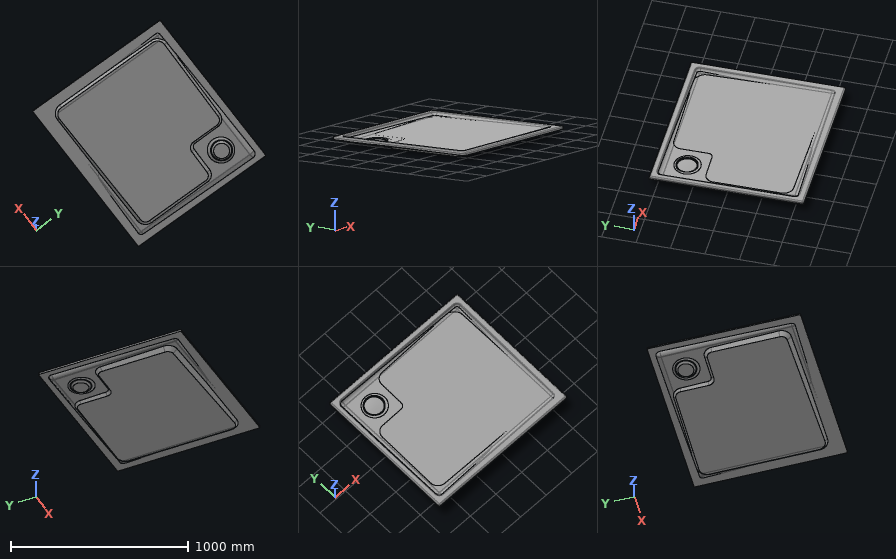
import cadquery as cq
import math

RIM_LENGTH = 1000.0
RIM_WIDTH = 900.0
RIM_THICKNESS = 19.0
RIM_RADIUS = 8.0
OPENING_RADIUS = 6.0

FLOOR_LENGTH = 871.0
FLOOR_WIDTH = 767.0
FLOOR_DEPTH = 19.0
FLOOR_RISE_X = 13.0
FLOOR_RISE_Y = 11.0
WALL_FILLET = 28.0
CORNER_MARGIN = 0.5
SHELL_THICKNESS = 5.0
BASIN_HEIGHT = 60.0

DRAIN_X = -319.0
DRAIN_Y = 271.0
RECESS_DIAMETER = 124.0
RECESS_BOTTOM = -36.0
BOSS_TOP_DIAMETER = 165.0
BOSS_TOP = -30.0
BOSS_BOTTOM_DIAMETER = 90.0
BOSS_BOTTOM = -48.0

COVER_DIAMETER = 114.0
COVER_EDGE_TOP = -33.0
COVER_CROWN_TOP = -29.0

SUPPORT_LEFT = -405.0
SUPPORT_RIGHT = 409.0
SUPPORT_FRONT = -337.0
SUPPORT_BACK = 373.0
SUPPORT_DEPTH = 52.0
SUPPORT_RISE = 17.0
SUPPORT_RADIUS = 34.0
SUPPORT_TAPER = 41.0
NOTCH_CLEARANCE = 141.0
NOTCH_RADIUS = 45.0

SLOPE_X = FLOOR_RISE_X / FLOOR_LENGTH
SLOPE_Y = -FLOOR_RISE_Y / FLOOR_WIDTH


def basin_form(offset):
    """The space inside the basin, grown outwards by the offset."""
    radius = WALL_FILLET + offset
    floor = cq.Plane(
        origin=(0, 0, -FLOOR_DEPTH - offset),
        xDir=(1, 0, SLOPE_X),
        normal=(-SLOPE_X, -SLOPE_Y, 1),
    )
    form = (
        cq.Workplane(floor)
        .rect(FLOOR_LENGTH + 2 * radius, FLOOR_WIDTH + 2 * radius)
        .extrude(BASIN_HEIGHT)
        .edges(cq.selectors.ParallelDirSelector(floor.zDir))
        .fillet(radius + CORNER_MARGIN)
    )
    return form.faces("<Z").edges().fillet(radius)


def make_rim():
    return (
        cq.Workplane("XY", origin=(0, 0, -RIM_THICKNESS))
        .rect(RIM_LENGTH, RIM_WIDTH)
        .extrude(RIM_THICKNESS)
        .edges("|Z")
        .fillet(RIM_RADIUS)
        .faces(">Z")
        .edges()
        .fillet(RIM_RADIUS)
    )


def make_shell():
    """The solid form of the basin's underside, up to the rim's lower face."""
    below_rim = (
        cq.Workplane("XY", origin=(0, 0, -RIM_THICKNESS))
        .rect(RIM_LENGTH, RIM_WIDTH)
        .extrude(-BASIN_HEIGHT)
    )
    return basin_form(SHELL_THICKNESS).intersect(below_rim)


def make_support():
    notch_x = DRAIN_X + NOTCH_CLEARANCE
    notch_y = DRAIN_Y - NOTCH_CLEARANCE
    outline = (
        cq.Sketch()
        .polygon([
            (SUPPORT_LEFT, SUPPORT_FRONT),
            (SUPPORT_RIGHT, SUPPORT_FRONT),
            (SUPPORT_RIGHT, SUPPORT_BACK),
            (notch_x, SUPPORT_BACK),
            (notch_x, notch_y),
            (SUPPORT_LEFT, notch_y),
            (SUPPORT_LEFT, SUPPORT_FRONT),
        ])
        .vertices(cq.selectors.NearestToPointSelector((notch_x, notch_y, 0)))
        .fillet(NOTCH_RADIUS)
        .reset()
        .vertices("<X or >X or >Y")
        .fillet(SUPPORT_RADIUS)
    )
    block = (
        cq.Workplane("XY", origin=(0, 0, -SUPPORT_DEPTH))
        .placeSketch(outline)
        .extrude(SUPPORT_DEPTH - RIM_THICKNESS, taper=-SUPPORT_TAPER)
    )
    below_slope = (
        cq.Workplane("XZ", origin=(0, RIM_WIDTH / 2, 0))
        .moveTo(SUPPORT_LEFT, -SUPPORT_DEPTH)
        .lineTo(SUPPORT_RIGHT, -SUPPORT_DEPTH + SUPPORT_RISE)
        .lineTo(RIM_LENGTH / 2, -SUPPORT_DEPTH + SUPPORT_RISE)
        .lineTo(RIM_LENGTH / 2, -SUPPORT_DEPTH)
        .close()
        .extrude(RIM_WIDTH)
    )
    return block.cut(below_slope)


def make_drain_boss():
    cone = cq.Solid.makeCone(BOSS_BOTTOM_DIAMETER / 2, BOSS_TOP_DIAMETER / 2, BOSS_TOP - BOSS_BOTTOM)
    return cq.Workplane(cone.translate(cq.Vector(DRAIN_X, DRAIN_Y, BOSS_BOTTOM)))


def make_drain_recess():
    return (
        cq.Workplane("XY", origin=(DRAIN_X, DRAIN_Y, RECESS_BOTTOM))
        .circle(RECESS_DIAMETER / 2)
        .extrude(-RECESS_BOTTOM)
    )


def make_tray():
    tray = make_rim().union(make_shell()).union(make_support()).union(make_drain_boss())
    tray = tray.cut(basin_form(0)).cut(make_drain_recess())
    opening = tray.faces(">Z").val().innerWires()[0]
    return tray.newObject(opening.Edges()).fillet(OPENING_RADIUS)


def make_cover():
    radius = COVER_DIAMETER / 2
    crown = COVER_CROWN_TOP - COVER_EDGE_TOP
    sphere_radius = (radius ** 2 + crown ** 2) / (2 * crown)
    half_angle = math.asin(radius / sphere_radius) / 2
    middle = (
        sphere_radius * math.sin(half_angle),
        COVER_CROWN_TOP - sphere_radius * (1 - math.cos(half_angle)),
    )
    return (
        cq.Workplane("XZ", origin=(DRAIN_X, DRAIN_Y, 0))
        .moveTo(0, RECESS_BOTTOM)
        .lineTo(radius, RECESS_BOTTOM)
        .lineTo(radius, COVER_EDGE_TOP)
        .threePointArc(middle, (0, COVER_CROWN_TOP))
        .close()
        .revolve(360, (0, 0), (0, 1))
    )


tray = make_tray()
cover = make_cover()
result = cq.Compound.makeCompound([tray.val(), cover.val()])